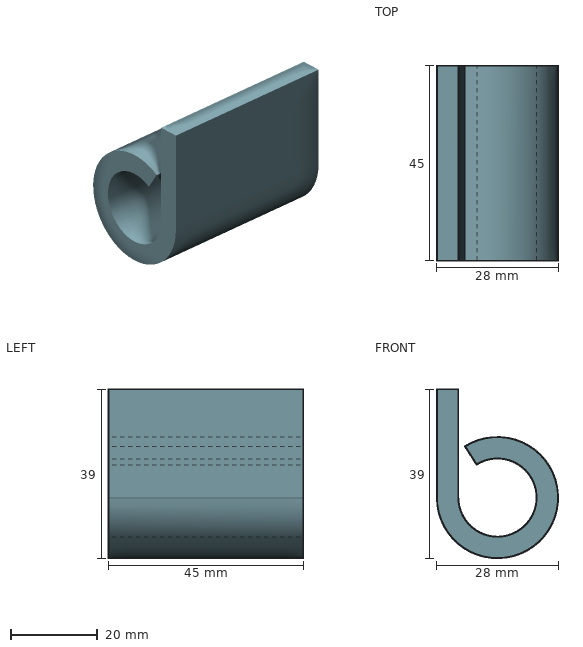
import cadquery as cq
import math

thickness = 5.0
inner_radius = 9.0
leaf_height = 25.0
length = 45.0
curl_end_angle = 122.4
bottom_angle = 270.0

outer_radius = inner_radius + thickness


def on_circle(radius, angle):
    """Point (x, z) on a circle about the curl axis."""
    radians = math.radians(angle)
    return (radius * math.cos(radians), radius * math.sin(radians))


def curled_leaf():
    """Flat leaf running tangentially into an open curl, extruded along the curl axis."""
    profile = (
        cq.Workplane("XZ", origin=(0, length / 2, 0))
        .moveTo(-outer_radius, leaf_height)
        .lineTo(-outer_radius, 0)
        .threePointArc(
            on_circle(outer_radius, bottom_angle),
            on_circle(outer_radius, curl_end_angle),
        )
        .lineTo(*on_circle(inner_radius, curl_end_angle))
        .threePointArc(on_circle(inner_radius, bottom_angle), (-inner_radius, 0))
        .lineTo(-inner_radius, leaf_height)
        .close()
    )
    return profile.extrude(length)


result = curled_leaf()